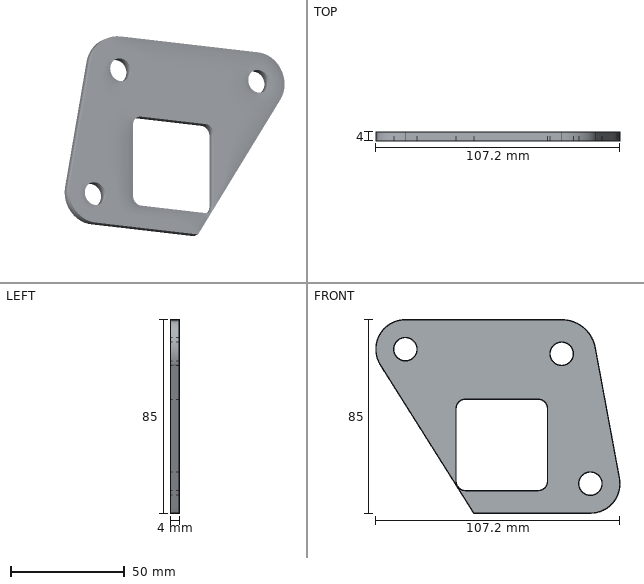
import cadquery as cq
import math

thickness = 4.0
width = 107.19
height = 85.0

hole_diameter = 10.15
small_corner_radius = 13.0
large_corner_radius = 15.0
upper_right_inset = 25.6

upper_left = (small_corner_radius, height - small_corner_radius)
upper_right = (width - upper_right_inset, height - large_corner_radius)
lower_right = (width - small_corner_radius, small_corner_radius)

sharp_corner = (43.0, 0.0)

window_size = 40.0
window_corner_radius = 4.0
window_left = 35.3
window_bottom = 10.0


def on_circle(center, radius, angle):
    """Point on a circle at an angle in radians from +X."""
    return (center[0] + radius * math.cos(angle), center[1] + radius * math.sin(angle))


def distance_and_direction(start, end):
    """Length and angle of the line from start to end."""
    dx = end[0] - start[0]
    dz = end[1] - start[1]
    return math.hypot(dx, dz), math.atan2(dz, dx)


def plate():
    """Plate whose straight edges run tangent to the three rounded corners."""
    length, direction = distance_and_direction(lower_right, upper_right)
    right_normal = direction - math.acos((small_corner_radius - large_corner_radius) / length)

    length, direction = distance_and_direction(upper_left, sharp_corner)
    left_normal = direction - math.acos(small_corner_radius / length)

    top = math.pi / 2
    bottom = -math.pi / 2
    upper_right_mid = (top + right_normal) / 2
    lower_right_mid = (bottom + right_normal) / 2
    upper_left_mid = (top + left_normal + 2 * math.pi) / 2

    outline = (
        cq.Workplane("XZ")
        .moveTo(*sharp_corner)
        .lineTo(*on_circle(lower_right, small_corner_radius, bottom))
        .threePointArc(
            on_circle(lower_right, small_corner_radius, lower_right_mid),
            on_circle(lower_right, small_corner_radius, right_normal),
        )
        .lineTo(*on_circle(upper_right, large_corner_radius, right_normal))
        .threePointArc(
            on_circle(upper_right, large_corner_radius, upper_right_mid),
            on_circle(upper_right, large_corner_radius, top),
        )
        .lineTo(*on_circle(upper_left, small_corner_radius, top))
        .threePointArc(
            on_circle(upper_left, small_corner_radius, upper_left_mid),
            on_circle(upper_left, small_corner_radius, left_normal),
        )
        .close()
    )
    return outline.extrude(thickness)


def mounting_holes():
    """Cylinders that cut the three mounting holes."""
    centers = [upper_left, upper_right, lower_right]
    return cq.Workplane("XZ").pushPoints(centers).circle(hole_diameter / 2).extrude(thickness)


def window():
    """Rounded square block that cuts the window."""
    center_x = window_left + window_size / 2
    center_z = window_bottom + window_size / 2
    return (
        cq.Workplane("XZ")
        .center(center_x, center_z)
        .rect(window_size, window_size)
        .extrude(thickness)
        .edges("|Y")
        .fillet(window_corner_radius)
    )


result = plate().cut(mounting_holes()).cut(window())